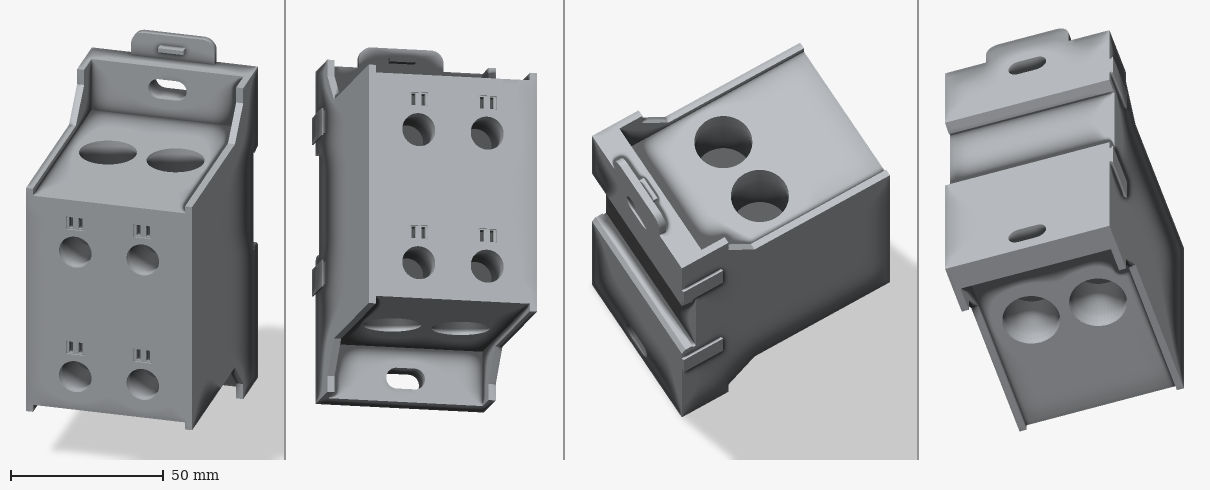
import cadquery as cq


BODY_WIDTH = 56.5
BODY_DEPTH = 79.8
TOTAL_HEIGHT = 120.1
BODY_HEIGHT = 111.6
FLANGE_DEPTH = 17.9
FLANGE_EDGE_HEIGHT = 5.4
HOUSING_INSET = 15.7
FLANGE_CHAMFER_DEPTH = 10.0
MID_HEIGHT = BODY_HEIGHT / 2

SIDE_WALL = 2.4
BACK_PLATE = 9.0
RECESS_HEIGHT = 18.3
RECESS_WIDTH = BODY_WIDTH - 2 * SIDE_WALL

SLOT_LENGTH = 13.0
SLOT_HEIGHT = 7.0
SLOT_EDGE_DISTANCE = 7.9

RAIL_DEPTH = 5.4
RAIL_TOP = 83.4
RAIL_BOTTOM = 48.2
LIP_DEPTH = 4.1
LIP_HEIGHT = 1.0
LOWER_LIP_CHAMFER = 1.5

HOLE_SPACING = 23.0
CONDUCTOR_DIAMETER = 19.0
CONDUCTOR_Y = -40.1
CONDUCTOR_DEPTH = 24.0
SCREW_DIAMETER = 11.0
SCREW_DEPTH = 18.0
SCREW_LEVELS = (30.2, 74.8)

MARKER_RISE = 10.2
MARKER_WIDTH = 6.2
MARKER_HEIGHT = 4.7
MARKER_DEPTH = 0.5
WINDOW_WIDTH = 1.3
WINDOW_HEIGHT = 3.8
WINDOW_SPACING = 3.2
WINDOW_DEPTH = 2.4

KEY_LENGTH = 15.0
KEY_THICKNESS = 1.2
KEY_CAP_THICKNESS = 0.5
KEY_HEIGHT = 9.0
KEY_UNDERCUT = 0.7
KEY_LEVELS = (40.5, 91.4)

TAB_WIDTH = 28.4
TAB_THICKNESS = 2.5
TAB_RADIUS = 4.2
RIB_WIDTH = 8.7
RIB_HEIGHT = 1.5
RIB_PROJECTION = 2.8
RIB_LEVEL = 115.8


def block(width, depth, height, x, back_y, z):
    """Box centred on x and z that runs forward (-Y) from back_y."""
    return cq.Workplane("XY").box(width, depth, height).translate((x, back_y - depth / 2, z))


def make_body():
    housing_top = BODY_HEIGHT - HOUSING_INSET
    flange_top = BODY_HEIGHT - FLANGE_EDGE_HEIGHT
    housing_start = FLANGE_DEPTH + FLANGE_CHAMFER_DEPTH
    lower_lip = RAIL_BOTTOM + LIP_HEIGHT
    outline = [
        (0, 0),
        (-FLANGE_DEPTH, 0),
        (-FLANGE_DEPTH, FLANGE_EDGE_HEIGHT),
        (-housing_start, HOUSING_INSET),
        (-BODY_DEPTH, HOUSING_INSET),
        (-BODY_DEPTH, housing_top),
        (-housing_start, housing_top),
        (-FLANGE_DEPTH, flange_top),
        (-FLANGE_DEPTH, BODY_HEIGHT),
        (0, BODY_HEIGHT),
        (0, RAIL_TOP),
        (-LIP_DEPTH, RAIL_TOP - LIP_HEIGHT),
        (-LIP_DEPTH, RAIL_TOP),
        (-RAIL_DEPTH, RAIL_TOP),
        (-RAIL_DEPTH, RAIL_BOTTOM),
        (-LIP_DEPTH, RAIL_BOTTOM),
        (-LIP_DEPTH, lower_lip),
        (-LOWER_LIP_CHAMFER, lower_lip),
        (0, lower_lip - LOWER_LIP_CHAMFER),
    ]
    return cq.Workplane("YZ").polyline(outline).close().extrude(BODY_WIDTH / 2, both=True)


def cut_end_recesses(body):
    for z in (RECESS_HEIGHT / 2, BODY_HEIGHT - RECESS_HEIGHT / 2):
        body = body.cut(block(RECESS_WIDTH, BODY_DEPTH, RECESS_HEIGHT, 0, -BACK_PLATE, z))
    return body


def cut_mounting_slots(body):
    levels = (SLOT_EDGE_DISTANCE, BODY_HEIGHT - SLOT_EDGE_DISTANCE)
    slots = (
        cq.Workplane("XZ")
        .pushPoints([(0, z) for z in levels])
        .slot2D(SLOT_LENGTH, SLOT_HEIGHT)
        .extrude(BACK_PLATE)
    )
    return body.cut(slots)


def cut_conductor_holes(body):
    """Blind holes into both ends of the housing, alike above and below its middle."""
    upper_holes = (
        cq.Workplane("XY", origin=(0, CONDUCTOR_Y, BODY_HEIGHT - RECESS_HEIGHT))
        .rarray(HOLE_SPACING, 1.2, 2, 1)
        .circle(CONDUCTOR_DIAMETER / 2)
        .extrude(-CONDUCTOR_DEPTH)
    )
    lower_holes = upper_holes.mirror("XY", (0, 0, MID_HEIGHT))
    return body.cut(upper_holes).cut(lower_holes)


def cut_terminal_front(body, x, z):
    """One screw hole with its stepped marker window above."""
    screw_hole = (
        cq.Workplane("XZ", origin=(x, -BODY_DEPTH, z))
        .circle(SCREW_DIAMETER / 2)
        .extrude(-SCREW_DEPTH)
    )
    marker_z = z + MARKER_RISE
    marker_floor = -BODY_DEPTH + MARKER_DEPTH
    marker = block(MARKER_WIDTH, MARKER_DEPTH, MARKER_HEIGHT, x, marker_floor, marker_z)
    body = body.cut(screw_hole).cut(marker)
    for side in (-1, 1):
        window_x = x + side * WINDOW_SPACING / 2
        window_floor = marker_floor + WINDOW_DEPTH
        body = body.cut(block(WINDOW_WIDTH, WINDOW_DEPTH, WINDOW_HEIGHT, window_x, window_floor, marker_z))
    return body


def make_key(z):
    """Key with a T-shaped section: a narrow stem under a wider cap."""
    stem_height = KEY_HEIGHT - 2 * KEY_UNDERCUT
    stem_x = -(BODY_WIDTH + KEY_THICKNESS) / 2
    cap_x = -BODY_WIDTH / 2 - KEY_THICKNESS + KEY_CAP_THICKNESS / 2
    stem = block(KEY_THICKNESS, KEY_LENGTH, stem_height, stem_x, 0, z)
    cap = block(KEY_CAP_THICKNESS, KEY_LENGTH, KEY_HEIGHT, cap_x, 0, z)
    return stem.union(cap)


def make_release_tab():
    height = TOTAL_HEIGHT - BODY_HEIGHT
    plate = block(TAB_WIDTH, TAB_THICKNESS, height, 0, 0, BODY_HEIGHT + height / 2)
    plate = plate.edges("|Y and >Z").fillet(TAB_RADIUS)
    rib = block(RIB_WIDTH, RIB_PROJECTION, RIB_HEIGHT, 0, -TAB_THICKNESS, RIB_LEVEL)
    return plate.union(rib)


result = cut_end_recesses(make_body())
result = cut_mounting_slots(result)
result = cut_conductor_holes(result)
for terminal_x in (-HOLE_SPACING / 2, HOLE_SPACING / 2):
    for terminal_z in SCREW_LEVELS:
        result = cut_terminal_front(result, terminal_x, terminal_z)
for key_z in KEY_LEVELS:
    result = result.union(make_key(key_z))
result = result.union(make_release_tab())